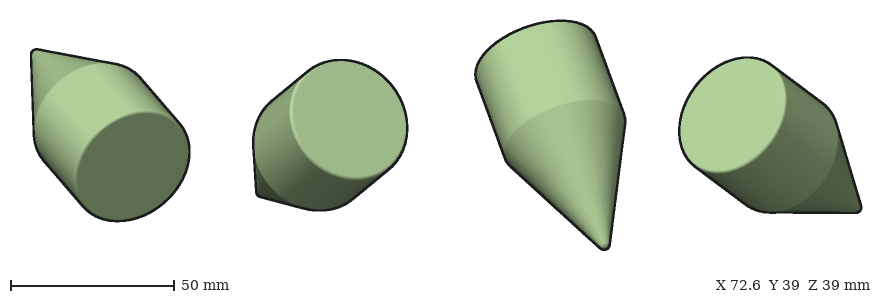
import cadquery as cq
import math

length = 72.6
body_diameter = 39.0
nose_length = 42.2
tip_radius = 1.8
shoulder_radius = 2.0
rear_radius = 1.0

body_radius = body_diameter / 2
tip_x = -length / 2
rear_x = length / 2
shoulder_x = tip_x + nose_length
tip_center_x = tip_x + tip_radius

corner_run = shoulder_x - tip_center_x
corner_distance = math.hypot(corner_run, body_radius)
half_angle = math.atan2(body_radius, corner_run) - math.asin(tip_radius / corner_distance)

shoulder_end_x = shoulder_x + shoulder_radius * math.tan(half_angle / 2)
shoulder_center_y = body_radius - shoulder_radius


def arc_point(center_x, center_y, radius, angle):
    """Point on a profile arc, with the angle measured from +Y towards -X."""
    return (center_x - radius * math.sin(angle), center_y + radius * math.cos(angle))


tip_middle_angle = (math.pi / 2 + half_angle) / 2
rear_center = (rear_x - rear_radius, body_radius - rear_radius)

profile = (
    cq.Workplane("XY")
    .moveTo(tip_x, 0)
    .threePointArc(
        arc_point(tip_center_x, 0, tip_radius, tip_middle_angle),
        arc_point(tip_center_x, 0, tip_radius, half_angle),
    )
    .lineTo(*arc_point(shoulder_end_x, shoulder_center_y, shoulder_radius, half_angle))
    .threePointArc(
        arc_point(shoulder_end_x, shoulder_center_y, shoulder_radius, half_angle / 2),
        (shoulder_end_x, body_radius),
    )
    .lineTo(rear_center[0], body_radius)
    .threePointArc(
        arc_point(*rear_center, rear_radius, -math.pi / 4),
        (rear_x, rear_center[1]),
    )
    .lineTo(rear_x, 0)
    .close()
)

result = profile.revolve(360, (0, 0, 0), (1, 0, 0))